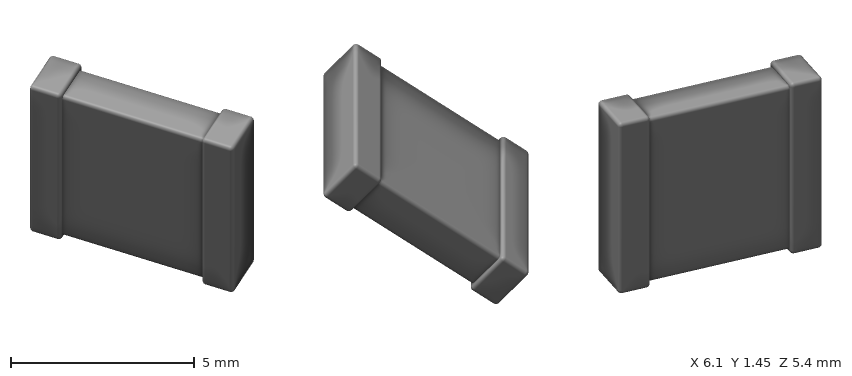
import cadquery as cq

length = 6.1
thickness = 1.45
height = 5.4

cap_length = 0.95
edge_radius = 0.11
cap_step = 0.115

core_length = length - 2 * cap_length
core_thickness = thickness - 2 * cap_step
core_height = height - 2 * cap_step


def make_core():
    """Central block with its long edges rounded, butting against both caps."""
    block = cq.Workplane("XY").box(core_length, core_thickness, core_height)
    return block.edges("|X").fillet(edge_radius)


def make_end_cap(side):
    """Terminal block with all edges rounded; side is -1 for the -X end, +1 for the +X end."""
    cap_center_x = side * (length - cap_length) / 2
    block = cq.Workplane("XY").box(cap_length, thickness, height)
    return block.edges().fillet(edge_radius).translate((cap_center_x, 0, 0))


core = make_core()
end_caps = [make_end_cap(side) for side in (-1, 1)]

result = cq.Compound.makeCompound([core.val(), *[cap.val() for cap in end_caps]])